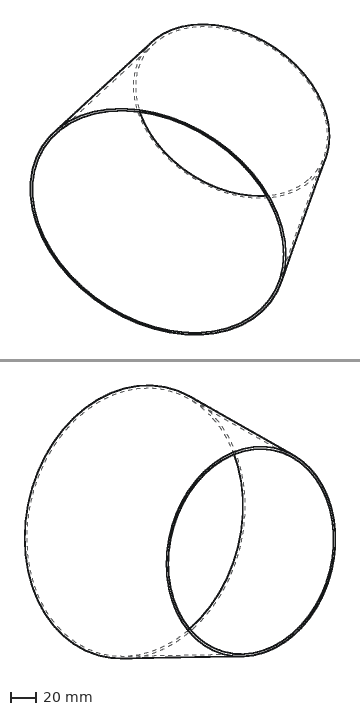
import cadquery as cq

large_diameter = 219.1
small_diameter = 168.3
length = 152.0
wall = 2.0

large_radius = large_diameter / 2
small_radius = small_diameter / 2

wall_section = [
    (large_radius - wall, 0),
    (large_radius, 0),
    (small_radius, length),
    (small_radius - wall, length),
]

result = (
    cq.Workplane("XY")
    .polyline(wall_section)
    .close()
    .revolve(360, (0, 0, 0), (0, 1, 0))
)